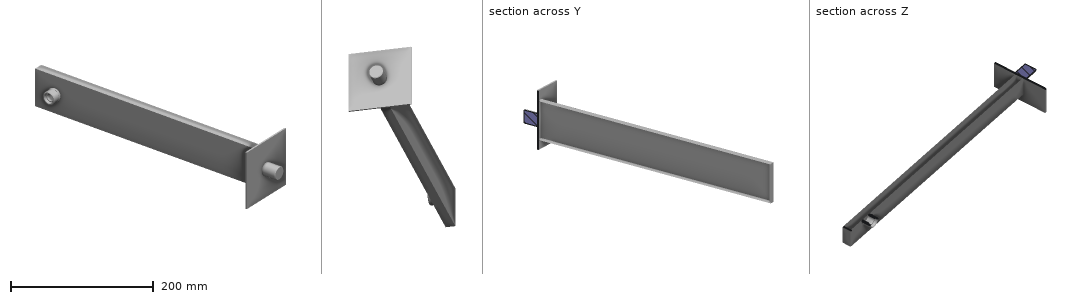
import cadquery as cq

total_length = 425.5

plate_side = 90.0
plate_thickness = 2.5

inlet_length = 23.0
inlet_diameter = 20.5
inlet_chamfer = 1.0

arm_depth = 14.0
arm_height = 60.0
arm_wall = 1.05
cap_thickness = 2.0

outlet_x = 35.0
outlet_length = 15.0
outlet_diameter = 20.5
outlet_bore_diameter = 14.5
outlet_chamfer = 1.05
outlet_bore_chamfer = 1.0

collar_offset = 2.0
collar_length = 1.5
collar_diameter = 22.0
collar_chamfer = 0.65

bushing_bore_diameter = 11.5
bushing_setback = 4.3

plate_back_x = total_length - inlet_length
arm_length = plate_back_x - plate_thickness
arm_face_y = -arm_depth / 2
inner_depth = arm_depth - 2 * arm_wall
inner_height = arm_height - 2 * arm_wall
bushing_length = outlet_length - bushing_setback


def box_along_x(start_x, length, depth, height):
    """Box centred on the X axis, running toward +X from start_x."""
    return cq.Workplane("YZ", origin=(start_x, 0, 0)).rect(depth, height).extrude(length)


def outlet_cylinder(start_offset, length, diameter):
    """Cylinder on the outlet axis, running toward -Y from start_offset in front of the arm face."""
    base = cq.Workplane("XZ", origin=(outlet_x, arm_face_y - start_offset, 0))
    return base.circle(diameter / 2).extrude(length)


def make_arm():
    tube = box_along_x(0, arm_length, arm_depth, arm_height)
    cavity = box_along_x(0, arm_length, inner_depth, inner_height)
    return tube.cut(cavity)


def make_end_cap():
    return box_along_x(0, cap_thickness, inner_depth, inner_height)


def make_wall_plate():
    return box_along_x(arm_length, plate_thickness, plate_side, plate_side)


def make_inlet():
    stub = cq.Workplane("YZ", origin=(plate_back_x, 0, 0)).circle(inlet_diameter / 2).extrude(inlet_length)
    return stub.faces(">X").chamfer(inlet_chamfer)


def make_collar():
    ring = outlet_cylinder(collar_offset, collar_length, collar_diameter).faces("<Y").chamfer(collar_chamfer)
    return ring.cut(outlet_cylinder(collar_offset, collar_length, outlet_diameter))


def make_outlet():
    spout = outlet_cylinder(0, outlet_length, outlet_diameter)
    spout = spout.faces("<Y").chamfer(outlet_chamfer)
    spout = spout.cut(outlet_cylinder(0, outlet_length, outlet_bore_diameter))
    mouth_edge = spout.faces("<Y").edges(cq.selectors.RadiusNthSelector(0))
    return mouth_edge.chamfer(outlet_bore_chamfer)


def make_bushing():
    bushing = outlet_cylinder(0, bushing_length, outlet_bore_diameter)
    return bushing.cut(outlet_cylinder(0, bushing_length, bushing_bore_diameter))


bodies = [
    make_arm(),
    make_end_cap(),
    make_wall_plate(),
    make_inlet(),
    make_collar(),
    make_outlet(),
    make_bushing(),
]
result = cq.Compound.makeCompound([body.val() for body in bodies])